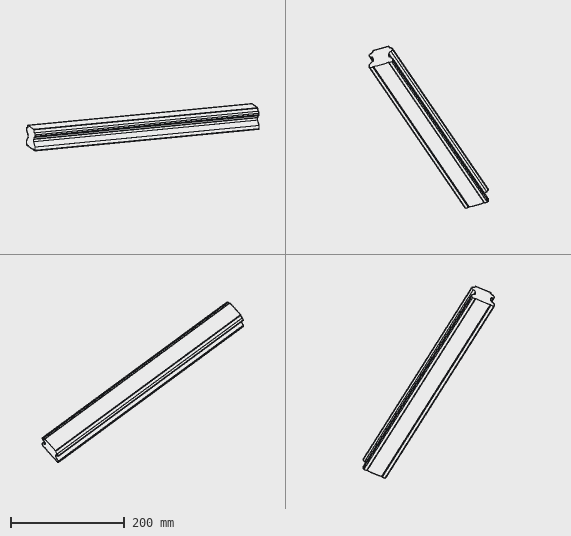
import cadquery as cq
import math

length = 420.0
width = 45.0
half_width = width / 2

top_half_width = 14.5
top_chamfer = 1.0
head_half_width = top_half_width + top_chamfer
head_side_height = 0.38

flange_middle = 28.5
flange_edge = 2.5
flank_run = 3.0
flank_x = half_width - flank_run
flank_reach = flange_edge / 2 + flank_run

relief_radius = flank_x - head_half_width
relief_reach = flank_reach + relief_radius
height = flange_middle + relief_reach + head_side_height + top_chamfer

waist_half_width = 14.5
waist_step = head_half_width - waist_half_width

base_edge_top = 7.5
base_chamfer = 1.5
waist_bottom = base_edge_top + half_width - waist_half_width

groove_inner_x = 8.5
groove_outer_x = 15.5
groove_depth = 1.3


def relief_middle(side):
    """Middle of the relief arc above (side = 1) or below (side = -1) the flange."""
    inset = relief_radius * math.sqrt(0.5)
    return flank_x - inset, flange_middle + side * (relief_reach - inset)


def half_rail():
    """Right half of the rail, its outline drawn from the bottom centre to the top centre."""
    outline = (
        cq.Workplane("XZ", origin=(0, length / 2, 0))
        .lineTo(groove_inner_x, 0)
        .lineTo(groove_outer_x - groove_depth, groove_depth)
        .lineTo(groove_outer_x, 0)
        .lineTo(half_width - base_chamfer, 0)
        .lineTo(half_width, base_chamfer)
        .lineTo(half_width, base_edge_top)
        .lineTo(waist_half_width, waist_bottom)
        .lineTo(waist_half_width, flange_middle - relief_reach - waist_step)
        .lineTo(head_half_width, flange_middle - relief_reach)
        .threePointArc(relief_middle(-1), (flank_x, flange_middle - flank_reach))
        .lineTo(half_width, flange_middle - flange_edge / 2)
        .lineTo(half_width, flange_middle + flange_edge / 2)
        .lineTo(flank_x, flange_middle + flank_reach)
        .threePointArc(relief_middle(1), (head_half_width, flange_middle + relief_reach))
        .lineTo(head_half_width, height - top_chamfer)
        .lineTo(top_half_width, height)
        .lineTo(0, height)
        .close()
    )
    return outline.extrude(length)


right_half = half_rail()
result = right_half.union(right_half.mirror("YZ"), clean=True)